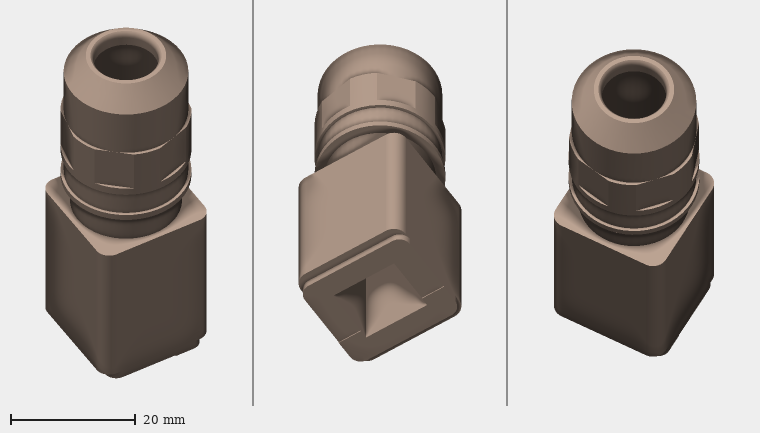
import math
import cadquery as cq

pad_height = 0.2
foot_height = 1.4
body_height = 26.5
neck_height = 5.6
flange_height = 1.1
lower_barrel_height = 4.5
ring_height = 8.9
upper_barrel_height = 8.5
nose_height = 3.5

foot_base_z = pad_height
body_base_z = foot_base_z + foot_height
body_top_z = body_base_z + body_height
flange_base_z = body_top_z + neck_height
flange_top_z = flange_base_z + flange_height
ring_base_z = flange_top_z + lower_barrel_height
ring_top_z = ring_base_z + ring_height
nose_base_z = ring_top_z + upper_barrel_height
nut_top_z = nose_base_z + nose_height

body_side = 20.15
body_corner_radius = 2.35
foot_width_y = 17.3
foot_corner_radius = 2.05
pad_inner_y = 3.3

neck_radius = 9.0
barrel_radius = 10.0
ring_radius = 10.5
nose_tip_radius = 6.45

flat_count = 6
nut_turn = 18.4
flat_distance = barrel_radius
flat_base_z = ring_base_z + 1.4

lip_radius = 5.7
throat_radius = 5.2
lip_depth = 1.0
throat_base_depth = 2.6
cavity_radius = 8.3
cavity_shoulder_depth = 5.6
funnel_height = 3.5
socket_width_x = 11.7
socket_width_y = 9.65


def rounded_block(width_x, width_y, height, corner_radius, base_z):
    """Block centred on the axis with its vertical edges rounded."""
    return (
        cq.Workplane("XY", origin=(0, 0, base_z))
        .rect(width_x, width_y)
        .extrude(height)
        .edges("|Z")
        .fillet(corner_radius)
    )


def make_body():
    """Square housing on a narrower foot, with a thin pad under the +Y part of the foot."""
    body = rounded_block(body_side, body_side, body_height, body_corner_radius, body_base_z)
    foot = rounded_block(body_side, foot_width_y, foot_height + pad_height, foot_corner_radius, 0)
    relief = (
        cq.Workplane("XY")
        .center(0, pad_inner_y - foot_width_y / 2)
        .rect(body_side, foot_width_y)
        .extrude(pad_height)
    )
    return body.union(foot.cut(relief))


def make_neck():
    """Round neck between the body and the nut."""
    return cq.Workplane("XY", origin=(0, 0, body_top_z)).circle(neck_radius).extrude(neck_height)


def make_nut_blank():
    """Cap nut outside, before the flats, turned about Z."""
    profile = [
        (0, flange_base_z),
        (ring_radius, flange_base_z),
        (ring_radius, flange_top_z),
        (barrel_radius, flange_top_z),
        (barrel_radius, ring_base_z),
        (ring_radius, ring_base_z),
        (ring_radius, ring_top_z),
        (barrel_radius, ring_top_z),
        (barrel_radius, nose_base_z),
        (nose_tip_radius, nut_top_z),
        (0, nut_top_z),
    ]
    return cq.Workplane("XZ").polyline(profile).close().revolve(360, (0, 0, 0), (0, 1, 0))


def make_flat_cutters():
    """Blocks that plane six flats on the grip ring, tangent to the barrel."""
    cutters = cq.Workplane("XY")
    for index in range(flat_count):
        block = (
            cq.Workplane("XY", origin=(0, 0, flat_base_z))
            .center(flat_distance + ring_radius / 2, 0)
            .rect(ring_radius, ring_radius)
            .extrude(ring_top_z - flat_base_z)
            .rotate((0, 0, 0), (0, 0, 1), index * 360 / flat_count)
        )
        cutters = cutters.add(block)
    return cutters.combine()


def make_bore():
    """Rounded entry, throat, conical shoulder, cavity and funnel, turned about Z."""
    funnel_tip_radius = socket_width_y / 2
    throat_top_z = nut_top_z - lip_depth
    lip_overhang = lip_radius - throat_radius
    arc_radius = (lip_depth**2 + lip_overhang**2) / (2 * lip_overhang)
    half_angle = math.asin(lip_depth / arc_radius) / 2
    arc_middle = (
        throat_radius + arc_radius * (1 - math.cos(half_angle)),
        throat_top_z + arc_radius * math.sin(half_angle),
    )
    return (
        cq.Workplane("XZ")
        .moveTo(0, body_top_z)
        .lineTo(funnel_tip_radius, body_top_z)
        .lineTo(cavity_radius, body_top_z + funnel_height)
        .lineTo(cavity_radius, nut_top_z - cavity_shoulder_depth)
        .lineTo(throat_radius, nut_top_z - throat_base_depth)
        .lineTo(throat_radius, throat_top_z)
        .threePointArc(arc_middle, (lip_radius, nut_top_z))
        .lineTo(0, nut_top_z)
        .close()
        .revolve(360, (0, 0, 0), (0, 1, 0))
    )


def make_socket():
    """Rectangular opening through the body, running up into the funnel."""
    return (
        cq.Workplane("XY")
        .rect(socket_width_x, socket_width_y)
        .extrude(body_top_z + funnel_height)
    )


nut = make_nut_blank().cut(make_flat_cutters()).rotate((0, 0, 0), (0, 0, 1), nut_turn)
result = make_body().union(make_neck()).union(nut).cut(make_bore()).cut(make_socket())